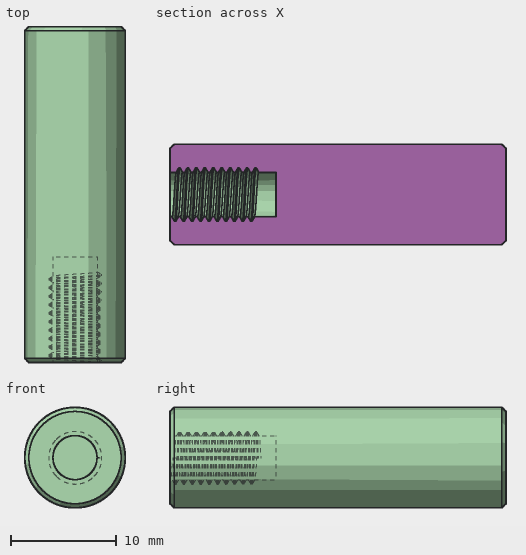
import cadquery as cq
import math

INCH = 25.4

BODY_DIAMETER = 0.375 * INCH
BODY_LENGTH = 1.25 * INCH
BODY_RADIUS = BODY_DIAMETER / 2
END_CHAMFER = 0.4

THREAD_MAJOR_DIAMETER = 5.0
THREAD_MINOR_DIAMETER = 4.17
THREAD_PITCH = 0.8
THREAD_FLANK_ANGLE = 30
THREAD_TURNS = 10
HOLE_DEPTH = 10.0

GROOVE_ROOT_WIDTH = THREAD_PITCH / 8
GROOVE_OVERLAP = 0.05

MAJOR_RADIUS = THREAD_MAJOR_DIAMETER / 2
MINOR_RADIUS = THREAD_MINOR_DIAMETER / 2


def make_body():
    """Cylinder with both rims chamfered, revolved about Y from a profile in the YZ plane."""
    return (
        cq.Workplane("YZ")
        .moveTo(-BODY_LENGTH / 2, 0)
        .lineTo(-BODY_LENGTH / 2, BODY_RADIUS)
        .lineTo(BODY_LENGTH / 2, BODY_RADIUS)
        .lineTo(BODY_LENGTH / 2, 0)
        .close()
        .revolve(360, (0, 0, 0), (1, 0, 0))
        .edges("%CIRCLE")
        .chamfer(END_CHAMFER)
    )


def make_bore():
    """Flat-bottomed bore at the thread's minor diameter, opening at Z = 0 and running up Z."""
    return cq.Workplane("XY").circle(MINOR_RADIUS).extrude(HOLE_DEPTH)


def groove_half_width(radius):
    """Half the axial width of the thread groove at the given radius."""
    flank_slope = math.tan(math.radians(THREAD_FLANK_ANGLE))
    return GROOVE_ROOT_WIDTH / 2 + (MAJOR_RADIUS - radius) * flank_slope


def make_thread_groove():
    """Right-hand helical groove around Z, its mouth starting level with Z = 0."""
    inner_radius = MINOR_RADIUS - GROOVE_OVERLAP
    half_mouth = groove_half_width(inner_radius)
    half_root = groove_half_width(MAJOR_RADIUS)

    helix = cq.Wire.makeHelix(THREAD_PITCH, THREAD_TURNS * THREAD_PITCH, MINOR_RADIUS)
    groove = (
        cq.Workplane("XZ")
        .moveTo(inner_radius, -half_mouth)
        .lineTo(MAJOR_RADIUS, -half_root)
        .lineTo(MAJOR_RADIUS, half_root)
        .lineTo(inner_radius, half_mouth)
        .close()
        .sweep(cq.Workplane("XY").add(helix), isFrenet=True)
    )
    return groove.translate((0, 0, groove_half_width(MINOR_RADIUS)))


def place_in_end(tool):
    """Turn a tool built along +Z to run along +Y from the -Y end face."""
    return tool.rotate((0, 0, 0), (1, 0, 0), -90).translate((0, -BODY_LENGTH / 2, 0))


body = make_body()
bored_body = body.cut(place_in_end(make_bore()))
result = bored_body.cut(place_in_end(make_thread_groove()))